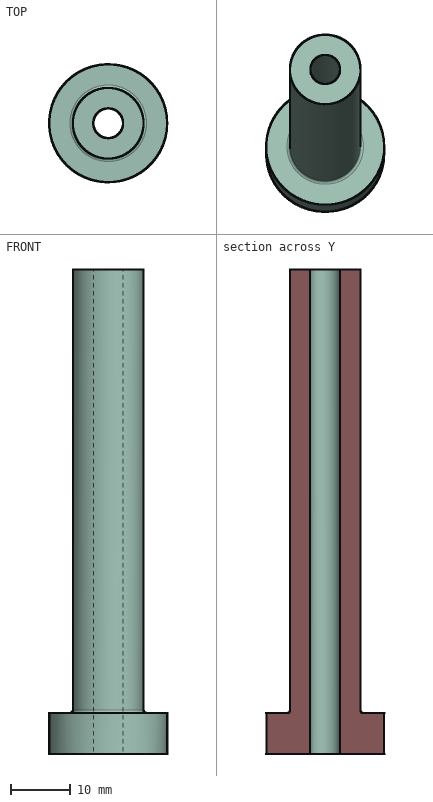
import cadquery as cq

total_length = 82.0
head_diameter = 20.0
head_height = 7.0
shank_diameter = 12.0
bore_diameter = 5.0
root_fillet_radius = 0.5

head = cq.Workplane("XY").circle(head_diameter / 2).extrude(head_height)
shank = cq.Workplane("XY").circle(shank_diameter / 2).extrude(total_length)
sleeve = head.union(shank)

shank_root = cq.selectors.RadiusNthSelector(0)
sleeve = sleeve.faces("|Z").faces("<Z[1]").edges(shank_root).fillet(root_fillet_radius)

result = sleeve.faces(">Z").workplane().hole(bore_diameter)